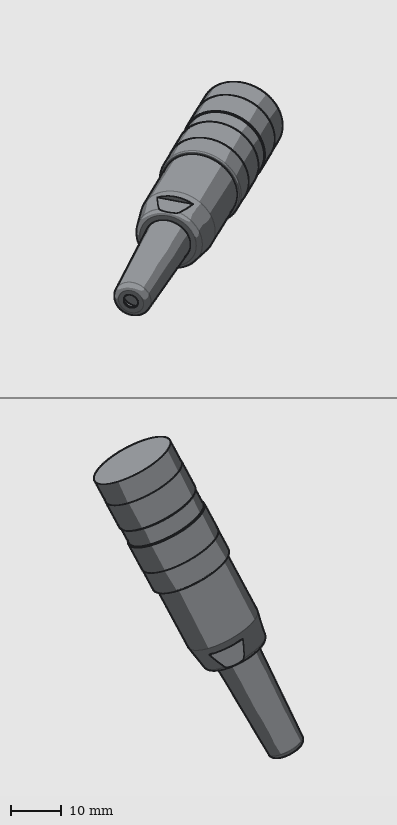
import cadquery as cq
import math

REAR_Y = 0.0
TOTAL_LENGTH = 68.5

SLEEVE_DIAMETER = 16.9
SLEEVE_LENGTH = 26.0
SLEEVE_EDGE_FILLET = 0.3
BAND_DIAMETER = 17.0
BAND_LENGTH = 6.0
BAND_START = 5.0
GROOVE_DIAMETER = 16.6
GROOVE_LENGTH = 4.0
GROOVE_START = BAND_START + BAND_LENGTH
GROOVE_END = GROOVE_START + GROOVE_LENGTH

BODY_DIAMETER = 15.5
BODY_END = 39.7
NOSE_END = 45.7
NOSE_TAPER_ANGLE = 10.0
NOSE_FILLET = 1.0

FLATS_WIDTH = 13.0
FLATS_START = 41.2

NOZZLE_ROOT_DIAMETER = 9.4
NOZZLE_TIP_DIAMETER = 7.5
NOZZLE_FILLET = 1.2
TIP_HOLE_DIAMETER = 3.0
LIP_THICKNESS = 0.35
CAVITY_DIAMETER = 5.6
CAVITY_FLOOR_DEPTH = 2.8


def along_y(start, length, diameter, end_diameter=None):
    """Round solid on the Y axis, starting `start` ahead of the rear face and running toward -Y."""
    start_radius = diameter / 2
    end_radius = (end_diameter or diameter) / 2
    profile = (
        cq.Workplane("XY")
        .moveTo(0, REAR_Y - start)
        .lineTo(start_radius, REAR_Y - start)
        .lineTo(end_radius, REAR_Y - start - length)
        .lineTo(0, REAR_Y - start - length)
        .close()
    )
    return profile.revolve(360, (0, 0, 0), (0, 1, 0))


def make_sleeve():
    sleeve = along_y(0, SLEEVE_LENGTH, SLEEVE_DIAMETER)
    sleeve = sleeve.faces("<Y").edges().fillet(SLEEVE_EDGE_FILLET)
    for start in (BAND_START, GROOVE_END):
        sleeve = sleeve.union(along_y(start, BAND_LENGTH, BAND_DIAMETER))
    blank = along_y(GROOVE_START, GROOVE_LENGTH, BAND_DIAMETER)
    return sleeve.cut(blank).union(make_groove_core())


def make_groove_core():
    """Material left inside the groove: its floor and the two 45 degree side walls."""
    wall = (BAND_DIAMETER - GROOVE_DIAMETER) / 2
    floor = along_y(GROOVE_START, GROOVE_LENGTH, GROOVE_DIAMETER)
    rear_wall = along_y(GROOVE_START, wall, BAND_DIAMETER, GROOVE_DIAMETER)
    front_wall = along_y(GROOVE_END - wall, wall, GROOVE_DIAMETER, BAND_DIAMETER)
    return floor.union(rear_wall).union(front_wall)


def make_nose():
    nose_length = NOSE_END - BODY_END
    end_diameter = BODY_DIAMETER - 2 * nose_length * math.tan(math.radians(NOSE_TAPER_ANGLE))
    nose = along_y(BODY_END, nose_length, BODY_DIAMETER, end_diameter)
    nose = nose.faces("<Y").edges().fillet(NOSE_FILLET)
    return cut_wrench_flats(nose)


def cut_wrench_flats(nose):
    length = NOSE_END - FLATS_START
    height = (BODY_DIAMETER - FLATS_WIDTH) / 2
    centre_y = REAR_Y - FLATS_START - length / 2
    centre_z = FLATS_WIDTH / 2 + height / 2
    for side in (1, -1):
        cutter = cq.Workplane("XY").box(BODY_DIAMETER, length, height)
        nose = nose.cut(cutter.translate((0, centre_y, side * centre_z)))
    return nose


def make_nozzle():
    nozzle = along_y(NOSE_END, TOTAL_LENGTH - NOSE_END, NOZZLE_ROOT_DIAMETER, NOZZLE_TIP_DIAMETER)
    nozzle = nozzle.faces("<Y").edges().fillet(NOZZLE_FILLET)
    tip_hole = along_y(TOTAL_LENGTH - LIP_THICKNESS, LIP_THICKNESS, TIP_HOLE_DIAMETER)
    cavity_length = CAVITY_FLOOR_DEPTH - LIP_THICKNESS
    cavity = along_y(TOTAL_LENGTH - CAVITY_FLOOR_DEPTH, cavity_length, CAVITY_DIAMETER)
    return nozzle.cut(tip_hole).cut(cavity)


body = along_y(SLEEVE_LENGTH, BODY_END - SLEEVE_LENGTH, BODY_DIAMETER)
result = make_sleeve().union(body).union(make_nose()).union(make_nozzle())